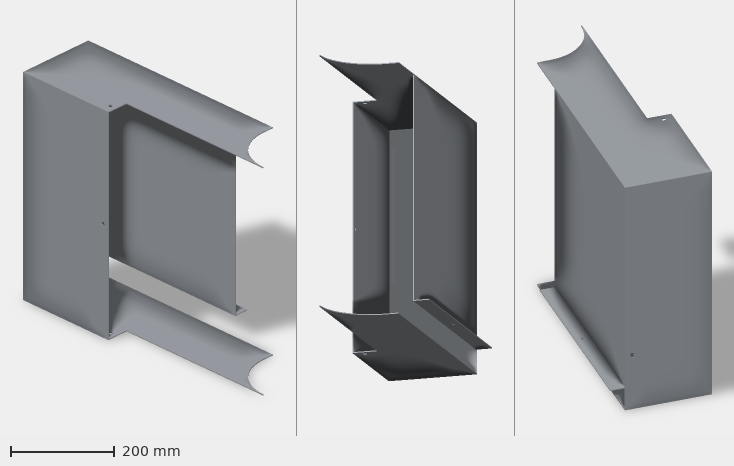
import cadquery as cq

length = 600.0
height = 500.0
sheet = 2.0
box_depth = 179.0
front_width = 231.0

notch_depth = 50.0
tip_thickness = 2.0
arc_radius = 100.0
straight_end = length - arc_radius
arc_center_y = notch_depth + tip_thickness + arc_radius

back_width = 400.0
back_bottom = 49.0
flange_reach = 30.0

round_hole = 7.0
flange_hole = 5.0
plate_hole_side = 8.0
side_hole_width = 6.5
side_hole_height = 10.0
edge_hole_x = 216.5
plate_hole_y = 20.5
side_hole_y = 164.0
side_hole_z = 120.5


def block(size_x, size_y, size_z, corner):
    """Rectangular sheet placed by its lowest corner."""
    return cq.Workplane("XY").box(size_x, size_y, size_z, centered=False).translate(corner)


def end_plate(bottom):
    """Horizontal plate with a front notch and a concave quarter-round end."""
    return (
        cq.Workplane("XY", origin=(0, 0, bottom))
        .moveTo(0, 0)
        .lineTo(front_width, 0)
        .lineTo(front_width, notch_depth)
        .lineTo(length, notch_depth)
        .lineTo(length, notch_depth + tip_thickness)
        .radiusArc((straight_end, arc_center_y), arc_radius)
        .lineTo(straight_end, box_depth)
        .lineTo(0, box_depth)
        .close()
        .extrude(sheet)
    )


front_wall = block(front_width, sheet, height, (0, 0, 0))
side_wall = block(sheet, box_depth, height, (0, 0, 0))
back_wall = block(back_width, sheet, height - back_bottom, (0, box_depth - sheet, back_bottom))
flange = block(back_width, flange_reach + sheet, sheet, (0, box_depth - sheet, back_bottom))

body = end_plate(0).union(end_plate(height - sheet))
for wall in (front_wall, side_wall, back_wall, flange):
    body = body.union(wall)

plate_holes = (
    cq.Workplane("XY")
    .center(edge_hole_x, plate_hole_y)
    .rect(plate_hole_side, plate_hole_side)
    .extrude(height)
)

side_hole = (
    cq.Workplane("YZ")
    .center(side_hole_y, side_hole_z)
    .rect(side_hole_width, side_hole_height)
    .extrude(sheet)
)

front_hole = (
    cq.Workplane("XZ")
    .center(edge_hole_x, height / 2)
    .circle(round_hole / 2)
    .extrude(-sheet)
)

flange_pin_hole = (
    cq.Workplane("XY", origin=(0, 0, back_bottom))
    .center(back_width / 2, box_depth + flange_reach / 2)
    .circle(flange_hole / 2)
    .extrude(sheet)
)

result = body.cut(plate_holes).cut(side_hole).cut(front_hole).cut(flange_pin_hole)